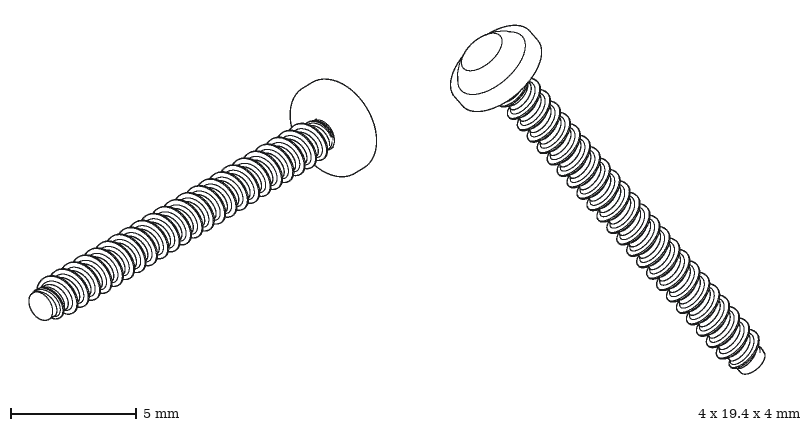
import cadquery as cq
import math


flange_diameter = 4.0
flange_thickness = 0.65
flange_edge_radius = 0.03
head_height = 1.35
dome_base_radius = 1.63
dome_top_radius = 0.98

shank_length = 18.0
core_radius = 0.62
collar_radius = 0.66
collar_end = 0.4
collar_taper_length = 0.1
neck_fillet_radius = 0.2

pitch = 0.7117
crest_radius = 0.9
reference_depth = 1.315
first_turn = -1.4
last_turn = 23.4
runout_turns = 1.2
samples_per_turn = 16
full_height_stretches = 4

crest_half_width = 0.035
shoulder_half_width = 0.08
foot_half_width = 0.24
crest_height = crest_radius - core_radius
shoulder_height = 0.09
foot_height = 0.01
root_depth = 0.06
buried_fraction = -0.1


def make_head():
    flange = (
        cq.Workplane("XZ")
        .circle(flange_diameter / 2)
        .extrude(-flange_thickness)
        .edges()
        .fillet(flange_edge_radius)
    )
    dome_height = head_height - flange_thickness
    centre_drop = (dome_base_radius**2 - dome_top_radius**2 - dome_height**2) / (2 * dome_height)
    sphere_radius = math.hypot(dome_base_radius, centre_drop)
    base_angle = math.atan2(centre_drop, dome_base_radius)
    top_angle = math.atan2(centre_drop + dome_height, dome_top_radius)
    middle_angle = (base_angle + top_angle) / 2
    dome_middle = (
        sphere_radius * math.cos(middle_angle),
        flange_thickness - centre_drop + sphere_radius * math.sin(middle_angle),
    )
    dome = (
        cq.Workplane("XY")
        .moveTo(0, flange_thickness / 2)
        .lineTo(dome_base_radius, flange_thickness / 2)
        .lineTo(dome_base_radius, flange_thickness)
        .threePointArc(dome_middle, (dome_top_radius, head_height))
        .lineTo(0, head_height)
        .close()
        .revolve(360, (0, 0, 0), (0, 1, 0))
    )
    return flange.union(dome)


def make_shank():
    return (
        cq.Workplane("XY")
        .moveTo(0, flange_thickness / 2)
        .lineTo(collar_radius + neck_fillet_radius, flange_thickness / 2)
        .lineTo(collar_radius + neck_fillet_radius, 0)
        .radiusArc((collar_radius, -neck_fillet_radius), -neck_fillet_radius)
        .lineTo(collar_radius, -collar_end)
        .lineTo(core_radius, -collar_end - collar_taper_length)
        .lineTo(core_radius, -shank_length)
        .lineTo(0, -shank_length)
        .close()
        .revolve(360, (0, 0, 0), (0, 1, 0))
    )


def height_fraction(turn):
    """Share of the full thread height: 1 along the thread, fading into the core at both ends."""
    turns_from_end = min(turn - first_turn, last_turn - turn)
    return min(1, buried_fraction + (1 - buried_fraction) * turns_from_end / runout_turns)


def thread_point(turn, axial_offset, full_height):
    """Point on the thread; heights above the core shrink in the run-outs, sunk roots stay put."""
    height = full_height
    if full_height > 0:
        height = full_height * height_fraction(turn)
    radius = core_radius + height
    angle = 2 * math.pi * turn
    return cq.Vector(
        -radius * math.sin(angle),
        -reference_depth - pitch * turn + axial_offset,
        radius * math.cos(angle),
    )


def thread_edge(axial_offset, full_height, start, end):
    count = math.ceil((end - start) * samples_per_turn)
    turns = [start + (end - start) * i / count for i in range(count + 1)]
    return cq.Edge.makeSpline([thread_point(turn, axial_offset, full_height) for turn in turns])


def make_thread():
    section = [
        (-foot_half_width, -root_depth),
        (-foot_half_width, foot_height),
        (-shoulder_half_width, shoulder_height),
        (-crest_half_width, crest_height),
        (crest_half_width, crest_height),
        (shoulder_half_width, shoulder_height),
        (foot_half_width, foot_height),
        (foot_half_width, -root_depth),
    ]
    full_start = first_turn + runout_turns
    stretch_turns = (last_turn - runout_turns - full_start) / full_height_stretches
    stretch_ends = [full_start + stretch_turns * i for i in range(full_height_stretches + 1)]
    breaks = [first_turn] + stretch_ends + [last_turn]
    faces = []
    for start, end in zip(breaks, breaks[1:]):
        edges = [thread_edge(offset, height, start, end) for offset, height in section]
        for edge, next_edge in zip(edges, edges[1:] + edges[:1]):
            faces.append(cq.Face.makeRuledSurface(edge, next_edge))
    for turn in (first_turn, last_turn):
        corners = [thread_point(turn, offset, height) for offset, height in section]
        faces.append(cq.Face.makeFromWires(cq.Wire.makePolygon(corners, close=True)))
    return cq.Workplane(cq.Solid.makeSolid(cq.Shell.makeShell(faces)))


def make_tip_cutter():
    """Removes what the end of the thread would leave beyond the tip face."""
    return cq.Workplane("XZ", origin=(0, -shank_length, 0)).circle(flange_diameter).extrude(pitch)


result = make_shank().union(make_thread()).union(make_head()).cut(make_tip_cutter()).solids()